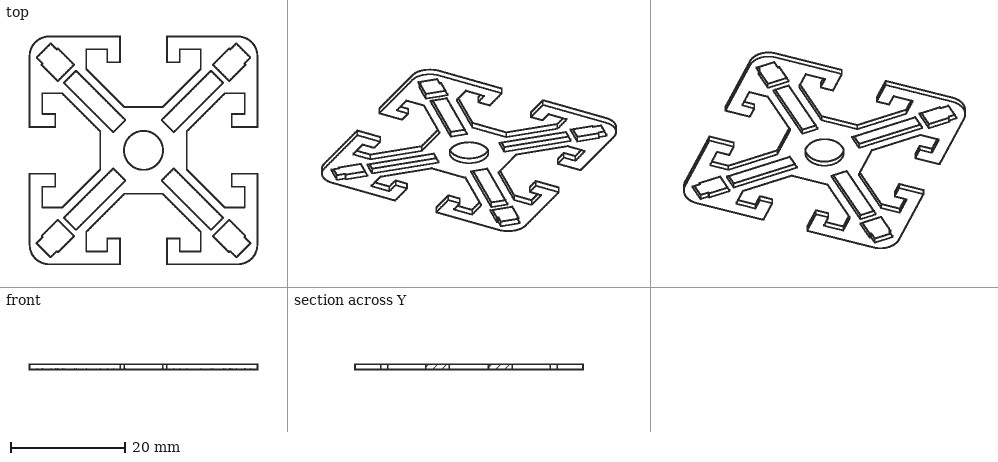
import cadquery as cq
import math

side = 40.0
thickness = 1.0
corner_radius = 3.5
bore_diameter = 6.8

mouth_width = 8.15
wall = 2.3
lip_depth = 2 * wall
cavity_width = 20.0
lip_length = 2.3
core_width = 15.25
spoke_width = 6.05

slot_start = 6.0
slot_end = 18.25
slot_width = 3.0
window_gap = 1.0
pocket_start = slot_end + window_gap
pocket_step = 23.25
pocket_end = 24.75
pocket_width = 4.05
pocket_tip_width = 3.5


def t_slot():
    """T-shaped side opening at +Y, narrowing at 45 degrees towards the core."""
    edge = side / 2
    mouth = mouth_width / 2
    undercut = mouth + lip_length
    cavity = cavity_width / 2
    core = core_width / 2
    flank_offset = spoke_width / math.sqrt(2)
    half_outline = [
        (mouth, edge),
        (mouth, edge - lip_depth),
        (undercut, edge - lip_depth),
        (undercut, edge - wall),
        (cavity, edge - wall),
        (cavity, cavity + flank_offset),
        (core - flank_offset, core),
    ]
    mirrored_half = [(-x, y) for x, y in reversed(half_outline)]
    return cq.Workplane("XY").polyline(half_outline + mirrored_half).close().extrude(thickness)


def window(start, end, width):
    """Rectangular through-window along +X between two distances from the centre."""
    return (
        cq.Workplane("XY")
        .center((start + end) / 2, 0)
        .rect(end - start, width)
        .extrude(thickness)
    )


def diagonal_windows():
    """Long slot and stepped corner pocket, laid out along +X."""
    slot = window(slot_start, slot_end, slot_width)
    pocket = window(pocket_start, pocket_step, pocket_width)
    pocket_tip = window(pocket_start, pocket_end, pocket_tip_width)
    return slot.union(pocket.union(pocket_tip))


def turned(shape, angle):
    """Shape rotated about the plate axis."""
    return shape.rotate((0, 0, 0), (0, 0, 1), angle)


result = (
    cq.Workplane("XY")
    .rect(side, side)
    .extrude(thickness)
    .edges("|Z")
    .fillet(corner_radius)
    .faces(">Z")
    .workplane()
    .hole(bore_diameter)
)

for quarter in range(4):
    side_angle = 90 * quarter
    result = result.cut(turned(t_slot(), side_angle))
    result = result.cut(turned(diagonal_windows(), side_angle + 45))